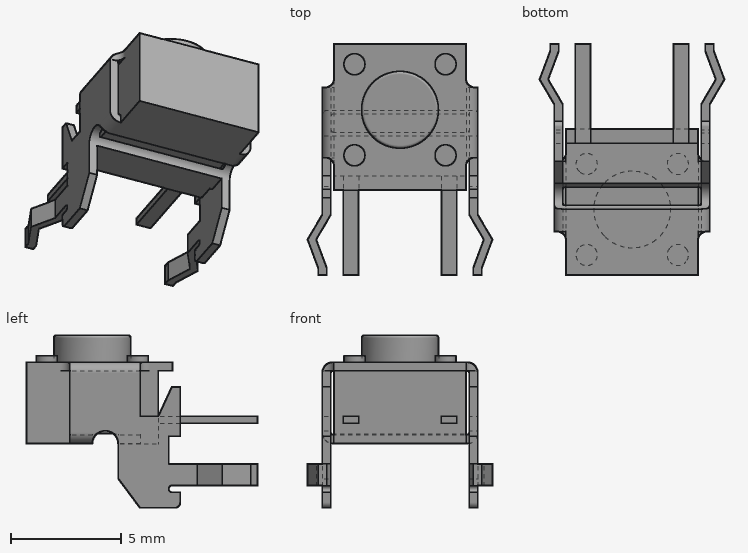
import cadquery as cq


body_width = 6.0
body_depth = 6.0
body_front = -body_depth / 2
groove_height = 0.45

sheet = 0.4
cover_top = 3.7
cover_bottom = cover_top - sheet
cover_front = -3.65

button_radius = 1.75
button_top = 4.93
button_round = 0.13
rivet_radius = 0.48
rivet_height = 0.3
rivet_offset = 2.07
rivet_round = 0.05

flange_outer = 3.54
flange_inner = flange_outer - sheet
bend_outer = 0.5
bend_inner = bend_outer - sheet
flange_back = 1.02
flange_front = -2.17
web_radius = 0.4

relief_radius = 0.58
relief_y = -0.59
leg_back = relief_y - relief_radius
relief_back = relief_y + relief_radius

leg_bottom = -2.93
leg_front = -4.0
leg_neck = -3.48
leg_slope_top = -1.59
leg_corner_round = 0.25
step_z = 0.32
notch_z = 1.25
hook_top = 2.57
hook_back = -3.61

arm_top = -0.92
arm_bottom = -1.91
slot_width = 0.3
slot_bottom = arm_bottom - slot_width
arm_bend_y = -4.77
arm_peak_y = -5.9
arm_tip_y = -7.2
overall_width = 8.41
arm_peak_outer = overall_width / 2
arm_tip_outer = 3.72

terminal_width = 0.71
terminal_x = 2.235
terminal_top = 1.25
terminal_thickness = 0.34
terminal_end = -7.52


def block(x0, x1, y0, y1, z0, z1):
    """Box between two opposite corners."""
    return cq.Workplane("XY").box(x1 - x0, y1 - y0, z1 - z0, centered=False).translate((x0, y0, z0))


def rounded_bar(half_width, z0, z1, y0, y1, radius):
    """Bar along Y with a rounded rectangular section, symmetric about X = 0."""
    return block(-half_width, half_width, y0, y1, z0, z1).edges("|Y").fillet(radius)


def both_sides(solid):
    """The solid together with its mirror image across X = 0."""
    return solid.union(solid.mirror("YZ"))


def make_body():
    """Moulded housing with a shallow groove across its underside."""
    half = body_width / 2
    body = block(-half, half, body_front, body_depth / 2, 0, cover_bottom)
    groove = block(-half, half, leg_back, relief_back, 0, groove_height)
    return body.cut(groove)


def make_cover():
    """Flat cover plate overhanging the front of the housing."""
    half = body_width / 2
    return block(-half, half, cover_front, body_depth / 2, cover_bottom, cover_top)


def make_button():
    height = button_top - cover_top
    button = cq.Workplane("XY").workplane(offset=cover_top).circle(button_radius).extrude(height)
    return button.faces(">Z").edges().fillet(button_round)


def make_rivets():
    rivets = (
        cq.Workplane("XY")
        .workplane(offset=cover_top)
        .rect(2 * rivet_offset, 2 * rivet_offset, forConstruction=True)
        .vertices()
        .circle(rivet_radius)
        .extrude(rivet_height)
    )
    return rivets.faces(">Z").edges().fillet(rivet_round)


def make_wrap():
    """Closed band of sheet around the housing: top, two flanges and bottom."""
    outside = rounded_bar(flange_outer, 0, cover_top, flange_front, flange_back, bend_outer)
    inside = rounded_bar(flange_inner, sheet, cover_bottom, flange_front, flange_back, bend_inner)
    return outside.cut(inside)


def make_web(flange_end, direction):
    """Concave corner joining the cover edge to one end of the +X flange bend."""
    half = body_width / 2
    far_y = flange_end + direction * web_radius
    y0 = min(flange_end, far_y)
    y1 = max(flange_end, far_y)
    corner = block(half, half + web_radius, y0, y1, cover_bottom, cover_top)
    scoop = (
        cq.Workplane("XY")
        .workplane(offset=cover_bottom)
        .center(half + web_radius, far_y)
        .circle(web_radius)
        .extrude(sheet)
    )
    bend = rounded_bar(flange_outer, 0, cover_top, y0, y1, bend_outer)
    return corner.cut(scoop).intersect(bend)


def make_leg():
    """Flat +X leg with a hook, a slotted foot and a sloped back edge."""
    slot_radius = slot_width / 2
    slot_centre_y = leg_neck - slot_radius
    leg = (
        cq.Workplane("YZ")
        .workplane(offset=flange_inner)
        .moveTo(relief_y, notch_z)
        .lineTo(body_front, notch_z)
        .lineTo(hook_back, hook_top)
        .lineTo(leg_front, hook_top)
        .lineTo(leg_front, step_z)
        .lineTo(leg_neck, step_z)
        .lineTo(leg_neck, arm_bottom)
        .lineTo(slot_centre_y, arm_bottom)
        .threePointArc((leg_neck, arm_bottom - slot_radius), (slot_centre_y, slot_bottom))
        .lineTo(leg_front, slot_bottom)
        .lineTo(leg_front, leg_bottom)
        .lineTo(flange_front, leg_bottom)
        .lineTo(leg_back, leg_slope_top)
        .lineTo(leg_back, 0)
        .lineTo(relief_y, 0)
        .close()
        .extrude(sheet)
    )
    foot_corner = leg.edges("|X").edges("<Z").edges("<Y")
    return foot_corner.fillet(leg_corner_round)


def make_arm():
    """Kinked +X arm of constant width along X."""
    outer_edge = [
        (flange_outer, leg_neck),
        (flange_outer, arm_bend_y),
        (arm_peak_outer, arm_peak_y),
        (arm_tip_outer, arm_tip_y),
        (arm_tip_outer, terminal_end),
    ]
    inner_edge = [(x - sheet, y) for x, y in reversed(outer_edge)]
    return (
        cq.Workplane("XY")
        .workplane(offset=arm_bottom)
        .polyline(outer_edge + inner_edge)
        .close()
        .extrude(arm_top - arm_bottom)
    )


def make_bracket():
    """Wrap, corner webs, legs and arms, with the relief cut across the full width."""
    side = make_leg().union(make_arm())
    side = side.union(make_web(flange_back, 1)).union(make_web(flange_front, -1))
    relief = (
        cq.Workplane("YZ")
        .center(relief_y, 0)
        .circle(relief_radius)
        .extrude(flange_outer, both=True)
    )
    return make_wrap().union(both_sides(side)).cut(relief)


def make_terminal():
    """Straight +X terminal leaving the front of the housing."""
    half = terminal_width / 2
    return block(
        terminal_x - half,
        terminal_x + half,
        terminal_end,
        body_front,
        terminal_top - terminal_thickness,
        terminal_top,
    )


result = make_body().union(make_cover()).union(make_bracket())
result = result.union(make_button()).union(make_rivets()).union(both_sides(make_terminal()))